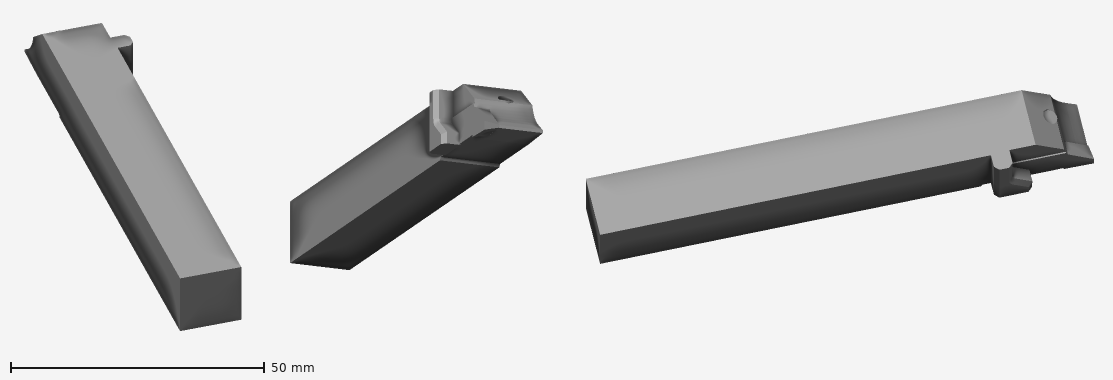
import cadquery as cq
import math

length = 100.0
shank_side = 12.7

nose_top = (11.8, shank_side)
slope_foot = (6.0, 8.1)
lip_top = (2.9, 3.2)
tip_top = (0.6, 1.5)
tip_bottom = (tip_top[0], 0.9)

relief_height = 0.6
relief_front = 8.0
relief_back = 22.6
relief_end = 23.0

insert_inner_y = 9.4
insert_outer_y = shank_side
seat_depth = 5.3
seat_height = 7.0
insert_end = 6.2

insert_inner = [(0.4, 0.9), (0.4, 1.5), (seat_depth, 5.6), (insert_end, 0.7)]
insert_outer = [(0.0, 0.0), (0.0, 1.8), (seat_depth, 6.2), (insert_end, 0.2)]

recess_depth = 0.3
recess_end = 17.1

lug_top_y = 16.2
lug_back = 20.9
lug_bottom = 0.5
lug_chamfer = 0.9
lug_toe = (13.1, 2.9)
lug_toe_bottom = (13.2, lug_bottom)
lug_fillet = 1.4

screw_diameter = 3.2
screw_tilt = 21.0
screw_center = (7.3, 5.2, 8.9)
screw_depth = 4.0


def box(x_range, y_range, z_range):
    """Block spanning the given coordinate ranges."""
    corner = (x_range[0], y_range[0], z_range[0])
    size = (end - start for start, end in (x_range, y_range, z_range))
    return cq.Workplane("XY", origin=corner).box(*size, centered=False)


def make_body():
    """Shank with its sloping nose, concave front and underside relief."""
    return (
        cq.Workplane("XZ")
        .moveTo(*tip_bottom)
        .lineTo(*tip_top)
        .lineTo(*lip_top)
        .tangentArcPoint(slope_foot, relative=False)
        .lineTo(*nose_top)
        .lineTo(length, shank_side)
        .lineTo(length, 0)
        .lineTo(relief_end, 0)
        .lineTo(relief_back, relief_height)
        .lineTo(relief_front, relief_height)
        .close()
        .extrude(-shank_side)
    )


def make_insert():
    """Wedge with a skewed cutting edge, tapering towards its inner side."""
    wires = []
    for y, outline in ((insert_inner_y, insert_inner), (insert_outer_y, insert_outer)):
        corners = [cq.Vector(x, y, z) for x, z in outline]
        wires.append(cq.Wire.makePolygon(corners, close=True))
    return cq.Workplane(cq.Solid.makeLoft(wires, True))


def make_lug():
    """Side lug whose front steps down to a toe parallel to the nose slope."""
    root_y = shank_side - recess_depth
    nose_slope = (nose_top[1] - slope_foot[1]) / (nose_top[0] - slope_foot[0])
    step_z = lug_toe[1] + nose_slope * (recess_end - lug_toe[0])
    step_edge = cq.selectors.NearestToPointSelector((recess_end, (root_y + lug_top_y) / 2, step_z))
    outline = [
        lug_toe_bottom,
        lug_toe,
        (recess_end, step_z),
        (recess_end, shank_side),
        (lug_back, shank_side),
        (lug_back, lug_bottom),
    ]
    lug = (
        cq.Workplane("XZ", origin=(0, root_y, 0))
        .polyline(outline)
        .close()
        .extrude(root_y - lug_top_y)
    )
    lug = lug.edges(step_edge).fillet(lug_fillet)
    return lug.faces(">Y").edges("not(>Z or <Z)").chamfer(lug_chamfer)


def add_screw(body):
    """Bore a tilted hole into the nose and fill it with the flat screw end."""
    tilt = math.radians(screw_tilt)
    axis = cq.Vector(-math.sin(tilt), 0, math.cos(tilt))
    radius = screw_diameter / 2
    center = cq.Vector(*screw_center)
    hole = cq.Solid.makeCylinder(radius, screw_depth, center, axis)
    screw = cq.Solid.makeCylinder(radius, screw_depth, center, -axis)
    return body.cut(cq.Workplane(hole)).union(cq.Workplane(screw))


seat = box((0, seat_depth), (insert_inner_y, shank_side), (0, seat_height))
recess = box((0, recess_end), (shank_side - recess_depth, shank_side), (seat_height, shank_side))

body = make_body().cut(seat).cut(recess)
body = add_screw(body)
result = body.union(make_insert()).union(make_lug())